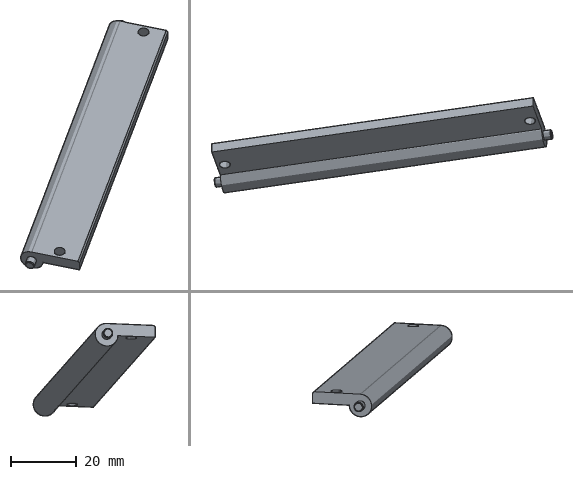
import cadquery as cq

total_length = 104.8
total_width = 18.5
barrel_diameter = 7.0
barrel_radius = barrel_diameter / 2

body_length = 100.0
leaf_thickness = 3.7
leaf_edge_x = total_width - barrel_radius
leaf_edge_chamfer = 0.5

pin_diameter = 2.9
pin_tip_chamfer = 0.25

hole_diameter = 3.2
hole_x = 8.1
hole_end_distance = 2.5


def make_body():
    """Barrel and leaf, with the barrel axis along Y through the origin."""
    barrel = cq.Workplane("XZ").circle(barrel_radius).extrude(body_length / 2, both=True)
    leaf = (
        cq.Workplane("XY")
        .box(leaf_edge_x, body_length, leaf_thickness, centered=(False, True, False))
        .translate((0, 0, barrel_radius - leaf_thickness))
        .edges(">X and >Z")
        .chamfer(leaf_edge_chamfer)
    )
    return barrel.union(leaf)


def make_pin():
    """Pin that projects from both ends of the barrel, with chamfered tips."""
    pin = cq.Workplane("XZ").circle(pin_diameter / 2).extrude(total_length / 2, both=True)
    return pin.faces("<Y or >Y").chamfer(pin_tip_chamfer)


def make_screw_holes():
    """Vertical cutters, one near each end of the leaf."""
    hole_y = body_length / 2 - hole_end_distance
    return (
        cq.Workplane("XY")
        .pushPoints([(hole_x, -hole_y), (hole_x, hole_y)])
        .circle(hole_diameter / 2)
        .extrude(barrel_diameter, both=True)
    )


result = make_body().union(make_pin()).cut(make_screw_holes())